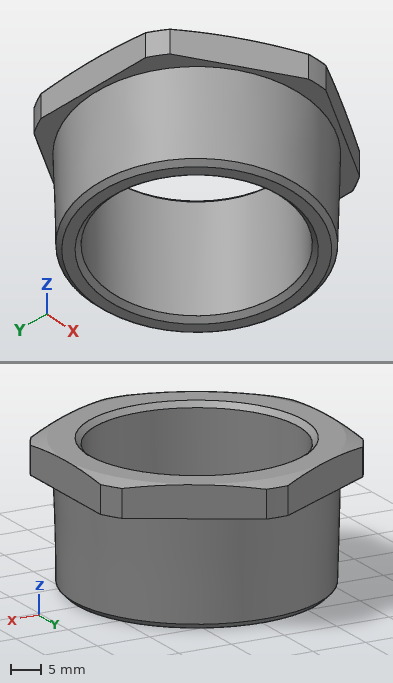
import cadquery as cq
import math

across_flats = 50.0
corner_diameter = 55.5
flange_height = 6.0
crown_diameter = 49.85
crown_angle = 15.0

total_height = 26.0
spigot_top_diameter = 47.95
spigot_bottom_diameter = 46.95
tip_chamfer = 1.0

bore_diameter = 38.5
bore_chamfer = 1.0

flange_bottom = total_height - flange_height


def hex_flange():
    """Hexagon with flats facing +X and -X, corners trimmed round and crowned."""
    point_to_point = across_flats / math.cos(math.radians(30))
    hexagon = (
        cq.Workplane("XY", origin=(0, 0, flange_bottom))
        .transformed(rotate=(0, 0, 30))
        .polygon(6, point_to_point)
        .extrude(flange_height)
    )
    corner_radius = corner_diameter / 2
    crown_radius = crown_diameter / 2
    crown_drop = (corner_radius - crown_radius) * math.tan(math.radians(crown_angle))
    envelope = (
        cq.Workplane("XZ")
        .moveTo(0, flange_bottom)
        .lineTo(corner_radius, flange_bottom)
        .lineTo(corner_radius, total_height - crown_drop)
        .lineTo(crown_radius, total_height)
        .lineTo(0, total_height)
        .close()
        .revolve(360, (0, 0, 0), (0, 1, 0))
    )
    return hexagon.intersect(envelope)


def spigot():
    """Round body: chamfered tip, then a taper widening to the flange."""
    bottom_radius = spigot_bottom_diameter / 2
    return (
        cq.Workplane("XZ")
        .lineTo(bottom_radius - tip_chamfer, 0)
        .lineTo(bottom_radius, tip_chamfer)
        .lineTo(spigot_top_diameter / 2, flange_bottom)
        .lineTo(0, flange_bottom)
        .close()
        .revolve(360, (0, 0, 0), (0, 1, 0))
    )


def bore():
    """Through hole with a chamfered mouth at both ends."""
    radius = bore_diameter / 2
    mouth_radius = radius + bore_chamfer
    return (
        cq.Workplane("XZ")
        .lineTo(mouth_radius, 0)
        .lineTo(radius, bore_chamfer)
        .lineTo(radius, total_height - bore_chamfer)
        .lineTo(mouth_radius, total_height)
        .lineTo(0, total_height)
        .close()
        .revolve(360, (0, 0, 0), (0, 1, 0))
    )


result = hex_flange().union(spigot()).cut(bore())